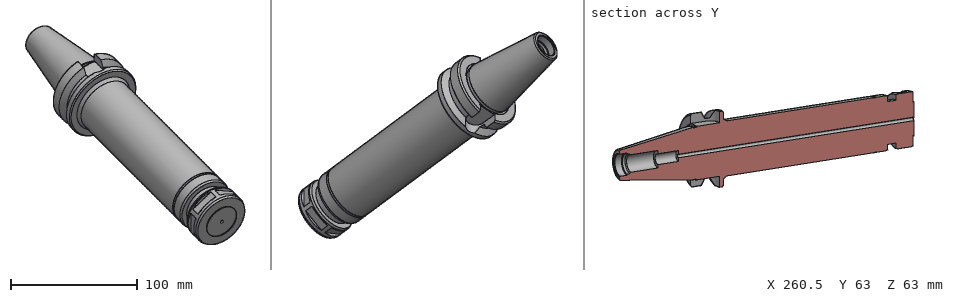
import cadquery as cq
import math


taper_length = 65.0
taper_big_radius = 22.1
taper_ratio = 7 / 24
taper_small_radius = taper_big_radius - taper_length * taper_ratio / 2
taper_tip_chamfer = 1.0
relief_radius = 21.5
relief_taper_chamfer = 0.5

flange_start = 67.0
flange_end = 92.2
flange_radius = 31.5
flange_front_chamfer = 1.3
flange_rear_chamfer = 1.0
relief_undercut = 1.0
relief_outer_radius = 23.5
groove_center = 81.8
groove_floor_radius = 26.0
groove_floor_width = 4.2
groove_wall_angle = 30

slot_half_width = 8.0
slot_floor = 22.5
slot_end = 88.5

body_radius = 46.0 / 2
body_start = 95.0
body_foot_radius = 25.0
body_end = 237.2
body_chamfer_length = 1.8
body_chamfer_depth = 0.8
ring_start = 225.0
ring_end = 226.8
ring_depth = 0.3
neck_radius = 18.0

nut_start = 244.3
nut_end = 259.5
nut_radius = body_radius
nut_chamfer_length = 1.8
nut_chamfer_depth = 0.8
nose_end = 260.5
nose_radius = 14.0
flat_count = 6
flat_start = 247.6
flat_end = 254.7
flat_wall_lean = 0.5
flat_distance = 20.8

mouth_radius = 9.6
entry_radius = 18.0 / 2
entry_depth = 6.5
pilot_radius = 17.0 / 2
thread_major_radius = 16.0 / 2
thread_minor_radius = 14.0 / 2
thread_start = 9.0
thread_depth = 33.9
inner_radius = 8.5 / 2
inner_depth = 52.0
through_radius = 2.5 / 2


def revolve_about_x(points):
    """Revolve an (x, radius) outline about the X axis."""
    return cq.Workplane("XY").polyline(points).close().revolve(360, (0, 0, 0), (1, 0, 0))


def turned_blank():
    """Taper, flange, body, neck and nut as one turned solid."""
    wall_run = (flange_radius - groove_floor_radius) * math.tan(math.radians(groove_wall_angle))
    floor_start = groove_center - groove_floor_width / 2
    floor_end = groove_center + groove_floor_width / 2
    ring_radius = body_radius - ring_depth
    tip_radius = taper_small_radius + taper_tip_chamfer * (taper_ratio / 2 - 1)
    return revolve_about_x([
        (0, 0),
        (0, tip_radius),
        (taper_tip_chamfer, taper_small_radius + taper_tip_chamfer * taper_ratio / 2),
        (taper_length, taper_big_radius),
        (taper_length + relief_taper_chamfer, relief_radius),
        (flange_start + relief_undercut, relief_radius),
        (flange_start + relief_undercut, relief_outer_radius),
        (flange_start, relief_outer_radius),
        (flange_start, flange_radius - flange_front_chamfer),
        (flange_start + flange_front_chamfer, flange_radius),
        (floor_start - wall_run, flange_radius),
        (floor_start, groove_floor_radius),
        (floor_end, groove_floor_radius),
        (floor_end + wall_run, flange_radius),
        (flange_end - flange_rear_chamfer, flange_radius),
        (flange_end, flange_radius - flange_rear_chamfer),
        (flange_end, body_foot_radius),
        (body_start, body_radius),
        (ring_start, body_radius),
        (ring_start, ring_radius),
        (ring_end, ring_radius),
        (ring_end, body_radius),
        (body_end - body_chamfer_length, body_radius),
        (body_end, body_radius - body_chamfer_depth),
        (body_end, neck_radius),
        (nut_start, neck_radius),
        (nut_start, nut_radius - nut_chamfer_depth),
        (nut_start + nut_chamfer_length, nut_radius),
        (nut_end - nut_chamfer_length, nut_radius),
        (nut_end, nut_radius - nut_chamfer_depth),
        (nut_end, nose_radius),
        (nose_end, nose_radius),
        (nose_end, 0),
    ])


def bore():
    """Stepped bore that narrows to a small hole running the whole length."""
    mouth_chamfer = mouth_radius - entry_radius
    return revolve_about_x([
        (0, 0),
        (0, mouth_radius),
        (mouth_chamfer, entry_radius),
        (entry_depth, entry_radius),
        (entry_depth + entry_radius - pilot_radius, pilot_radius),
        (thread_start, thread_major_radius),
        (thread_start + thread_major_radius - thread_minor_radius, thread_minor_radius),
        (thread_depth, thread_minor_radius),
        (thread_depth, inner_radius),
        (inner_depth, inner_radius),
        (inner_depth, through_radius),
        (nose_end, through_radius),
        (nose_end, 0),
    ])


def drive_slot():
    """Round-ended slot above the taper, open toward the small end and outward along +Z."""
    arc_center = slot_end - slot_half_width
    slot_start = taper_length
    return (
        cq.Workplane("XY", origin=(0, 0, slot_floor))
        .moveTo(slot_start, -slot_half_width)
        .lineTo(arc_center, -slot_half_width)
        .threePointArc((slot_end, 0), (arc_center, slot_half_width))
        .lineTo(slot_start, slot_half_width)
        .close()
        .extrude(flange_radius - slot_floor)
    )


def wrench_flat():
    """Cutter for a pocket with leaning end walls and a flat floor on the -Y side of the nut."""
    return (
        cq.Workplane("XY")
        .polyline([
            (flat_start, -flat_distance),
            (flat_end, -flat_distance),
            (flat_end + flat_wall_lean, -nut_radius),
            (flat_start - flat_wall_lean, -nut_radius),
        ])
        .close()
        .extrude(nut_radius, both=True)
    )


result = turned_blank().cut(bore())
for angle in (0, 180):
    result = result.cut(drive_slot().rotate((0, 0, 0), (1, 0, 0), angle))
for index in range(flat_count):
    result = result.cut(wrench_flat().rotate((0, 0, 0), (1, 0, 0), index * 360 / flat_count))